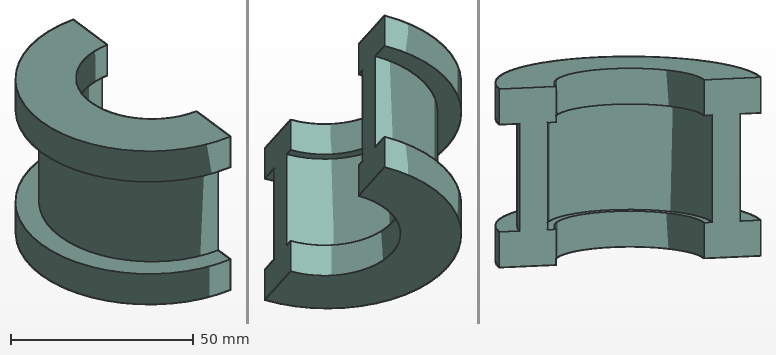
import cadquery as cq
import math

flange_radius = 36.85
flange_depth = 37.65
bore_radius = 20.85
sleeve_radius = 31.1
sleeve_bore_radius = 23.2
height = 50.0
flange_thickness = 10.0

sleeve_length = height - 2 * flange_thickness
flange_rim_offset = flange_depth - flange_radius


def half_ring(outer_radius, inner_radius, length, base, rim_offset=0.0):
    """Ring on the -Y side of the split face, its outer arc centred at Y = -rim_offset."""
    half_width = math.sqrt(outer_radius**2 - rim_offset**2)
    return (
        cq.Workplane("XY", origin=(0, 0, base))
        .moveTo(-half_width, 0)
        .threePointArc((0, -rim_offset - outer_radius), (half_width, 0))
        .lineTo(inner_radius, 0)
        .threePointArc((0, -inner_radius), (-inner_radius, 0))
        .close()
        .extrude(length)
    )


result = half_ring(sleeve_radius, sleeve_bore_radius, sleeve_length, flange_thickness)

for flange_base in (0, height - flange_thickness):
    flange = half_ring(flange_radius, bore_radius, flange_thickness, flange_base, flange_rim_offset)
    result = result.union(flange)